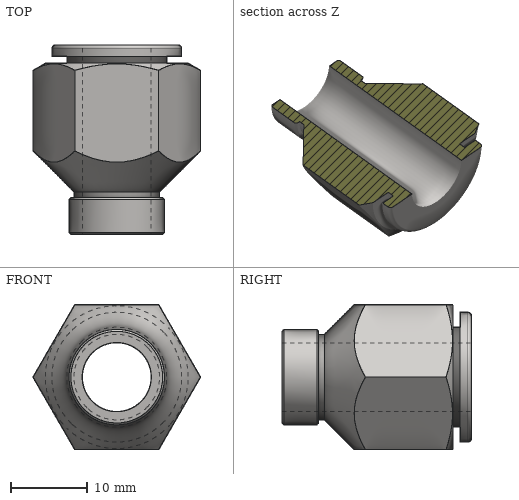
import cadquery as cq
import math

ACROSS_FLATS = 19.0
CORNER_RADIUS = ACROSS_FLATS / math.sqrt(3)
CONE_ANGLE = 45.0
REAR_CHAMFER_ANGLE = 30.0
REAR_FACE_DIAMETER = 18.7
ENVELOPE_MARGIN = 1.0

BORE_DIAMETER = 9.0
SPIGOT_DIAMETER = 12.5
NECK_DIAMETER = 11.2
GROOVE_DIAMETER = 13.1
COLLAR_DIAMETER = 17.0

SPIGOT_LENGTH = 4.8
NECK_LENGTH = 0.75
BODY_LENGTH = 16.85
GROOVE_LENGTH = 0.9
COLLAR_LENGTH = 1.5

SPIGOT_CHAMFER = 0.25
COLLAR_FILLET = 0.5

NECK_START = SPIGOT_LENGTH
BODY_START = NECK_START + NECK_LENGTH
BODY_END = BODY_START + BODY_LENGTH
COLLAR_START = BODY_END + GROOVE_LENGTH
COLLAR_END = COLLAR_START + COLLAR_LENGTH


def cylinder(diameter, start, end):
    """Round bar on the Y axis between two stations."""
    return (
        cq.Workplane("XZ", origin=(0, start, 0))
        .circle(diameter / 2)
        .extrude(start - end)
    )


def hex_body():
    """Hexagonal prism trimmed by a front cone and a shallow rear chamfer."""
    prism = (
        cq.Workplane("XZ", origin=(0, BODY_START, 0))
        .polygon(6, 2 * CORNER_RADIUS)
        .extrude(-BODY_LENGTH)
    )
    neck_radius = NECK_DIAMETER / 2
    rear_radius = REAR_FACE_DIAMETER / 2
    envelope_radius = CORNER_RADIUS + ENVELOPE_MARGIN
    cone_length = (envelope_radius - neck_radius) / math.tan(math.radians(CONE_ANGLE))
    chamfer_length = (envelope_radius - rear_radius) * math.tan(math.radians(REAR_CHAMFER_ANGLE))
    envelope = (
        cq.Workplane("XY")
        .moveTo(0, BODY_START)
        .lineTo(neck_radius, BODY_START)
        .lineTo(envelope_radius, BODY_START + cone_length)
        .lineTo(envelope_radius, BODY_END - chamfer_length)
        .lineTo(rear_radius, BODY_END)
        .lineTo(0, BODY_END)
        .close()
        .revolve(360, (0, 0, 0), (0, 1, 0))
    )
    return prism.intersect(envelope)


def spigot():
    """Front spigot with both rims chamfered."""
    return cylinder(SPIGOT_DIAMETER, 0, NECK_START).edges("%CIRCLE").chamfer(SPIGOT_CHAMFER)


def collar():
    """Rear collar with a rounded outer rim."""
    return cylinder(COLLAR_DIAMETER, COLLAR_START, COLLAR_END).faces(">Y").edges().fillet(COLLAR_FILLET)


neck = cylinder(NECK_DIAMETER, NECK_START, BODY_START)
groove_core = cylinder(GROOVE_DIAMETER, BODY_END, COLLAR_START)
bore = cylinder(BORE_DIAMETER, 0, COLLAR_END)

result = spigot().union(neck).union(hex_body()).union(groove_core).union(collar()).cut(bore)